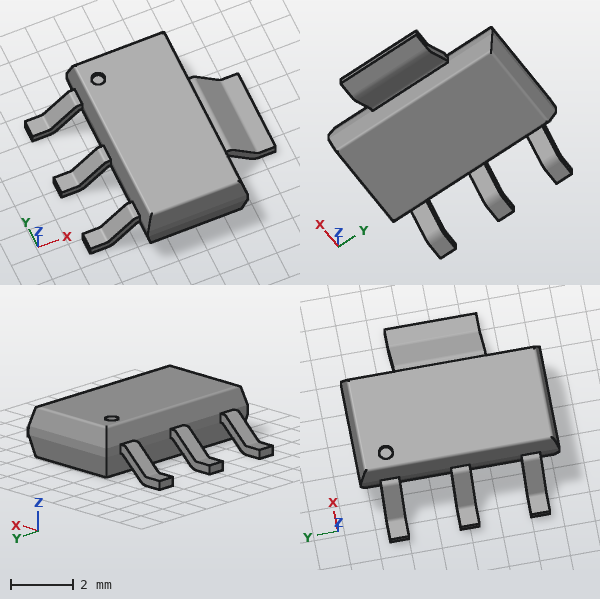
import cadquery as cq
import math

span = 7.0
package_width = 3.5
package_length = 6.5
package_top = 1.8
package_bottom = 0.07

metal_thickness = 0.3
band_top = 1.14
band_bottom = band_top - metal_thickness
lead_width = 0.615
lead_pitch = 2.3
lead_count = 3
tab_width = 3.0

foot_length = 0.62
ramp_end = 1.55
bend_radius = 0.15
heel_radius = bend_radius + metal_thickness

draft_inset = 0.17
edge_radius = 0.1
marker_diameter = 0.44
marker_depth = 0.14
marker_from_side = 0.69
marker_from_end = 0.95


def tapered_half(base_z, height):
    """Block that starts at the band outline and narrows over its height."""
    draft_angle = math.degrees(math.atan(draft_inset / abs(height)))
    return (
        cq.Workplane("XY")
        .workplane(offset=base_z)
        .rect(package_width, package_length)
        .extrude(height, taper=draft_angle)
    )


def make_package():
    """Moulded package: straight middle band, drafted halves and a pin-one dimple."""
    band = (
        cq.Workplane("XY")
        .workplane(offset=band_bottom)
        .rect(package_width, package_length)
        .extrude(metal_thickness)
    )
    upper = tapered_half(band_top, package_top - band_top).faces(">Z").edges().fillet(edge_radius)
    lower = tapered_half(band_bottom, package_bottom - band_bottom).faces("<Z").edges().fillet(edge_radius)
    marker = (
        cq.Workplane("XY")
        .workplane(offset=package_top - marker_depth)
        .center(marker_from_side - package_width / 2, package_length / 2 - marker_from_end)
        .circle(marker_diameter / 2)
        .extrude(marker_depth)
    )
    return band.union(upper).union(lower).cut(marker)


def make_gull_wing(width, center_y):
    """Gull-wing lead on the -X side, ending flush against the package band."""
    foot_end = -span / 2
    package_side = -package_width / 2
    top_bend_x = foot_end + foot_length
    top_shoulder_x = foot_end + ramp_end
    ramp_angle = math.atan2(band_bottom, ramp_end - foot_length)
    bend_shift = metal_thickness * math.tan(ramp_angle / 2)
    profile = [
        (foot_end, 0),
        (top_bend_x + bend_shift, 0),
        (top_shoulder_x + bend_shift, band_bottom),
        (package_side, band_bottom),
        (package_side, band_top),
        (top_shoulder_x, band_top),
        (top_bend_x, metal_thickness),
        (foot_end, metal_thickness),
    ]
    lead = (
        cq.Workplane("XZ", origin=(0, center_y + width / 2, 0))
        .polyline(profile)
        .close()
        .extrude(width)
    )

    def round_bend(body, x, z, radius):
        return body.edges(cq.selectors.NearestToPointSelector((x, center_y, z))).fillet(radius)

    lead = round_bend(lead, top_bend_x, metal_thickness, bend_radius)
    lead = round_bend(lead, top_bend_x + bend_shift, 0, heel_radius)
    lead = round_bend(lead, top_shoulder_x, band_top, bend_radius)
    return round_bend(lead, top_shoulder_x + bend_shift, band_bottom, bend_radius)


package = make_package()
leads = []
for index in range(lead_count):
    lead_y = (index - (lead_count - 1) / 2) * lead_pitch
    leads.append(make_gull_wing(lead_width, lead_y))
tab = make_gull_wing(tab_width, 0).mirror("YZ")

result = cq.Compound.makeCompound([package.val(), *[lead.val() for lead in leads], tab.val()])